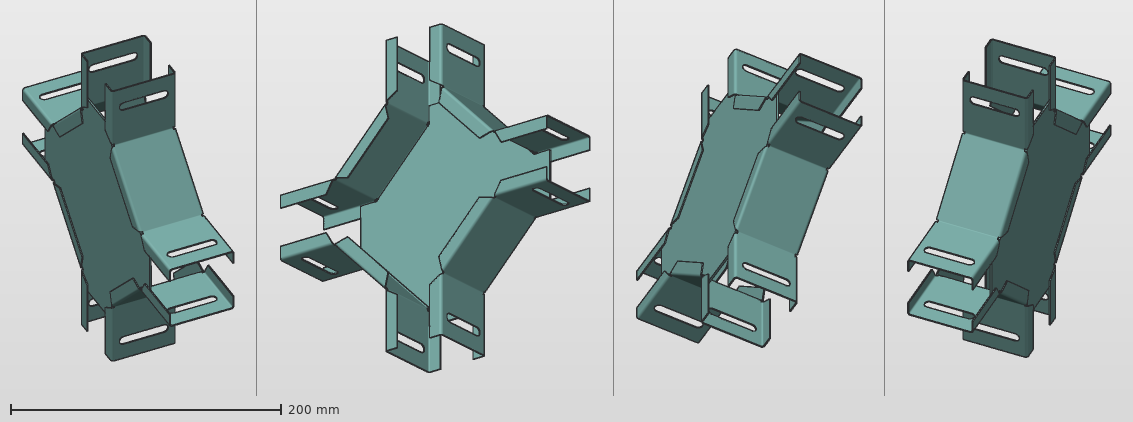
import cadquery as cq
import math


span = 249.0
arm_width = 53.0
depth = 53.0
corner_offset = 74.7
sheet = 1.0
bend_inner = 1.2
lip_width = 11.2
bend_setback = 0.5
lip_setback = 7.2

slot_length = 40.0
slot_width = 7.0
slot_from_tip = 16.5

plate_span = 176.8
plate_thickness = 1.5

bend_outer = bend_inner + sheet
half_span = span / 2
half_width = arm_width / 2
half_depth = depth / 2
web_height = depth - 2 * bend_outer
half_turn = math.radians(45) / 2


def wall_path(inset):
    """Points (X, Z) along a corner wall, moved inward from its outer face by inset."""
    near = half_width - inset
    far = corner_offset - inset * math.tan(half_turn)
    return [(near, half_span), (near, far), (far, near), (half_span, near)]


def turn_edges(web, inset):
    """Edges of the web along Y at the two turns of the wall face that lies inset from the outer face."""
    tolerance = sheet / 10
    turns = [cq.Vector(x, 0, z) for x, z in wall_path(inset)[1:3]]
    return [
        edge for edge in web.val().Edges()
        if any((edge.Center() - turn).Length < tolerance for turn in turns)
    ]


def corner_web():
    """Flat part of the wall: arm, diagonal and arm, with rounded turns and a slot in each arm."""
    outline = wall_path(0) + wall_path(sheet)[::-1]
    web = cq.Workplane("XZ").polyline(outline).close().extrude(web_height / 2, both=True)
    web = web.newObject(turn_edges(web, 0)).fillet(bend_inner)
    web = web.newObject(turn_edges(web, sheet)).fillet(bend_outer)

    slot_centre = half_span - slot_from_tip
    slot_on_x_arm = (
        cq.Workplane("XY").center(slot_centre, 0).slot2D(slot_length, slot_width, 90).extrude(half_span)
    )
    slot_on_z_arm = (
        cq.Workplane("YZ").center(0, slot_centre).slot2D(slot_length, slot_width, 0).extrude(half_span)
    )
    return web.cut(slot_on_x_arm).cut(slot_on_z_arm)


def lip_pair(start, end, start_is_corner, end_is_corner):
    """Front and back lips with their bends, along the wall from start to end (X, Z).

    A lip is cut back at an angle where it meets a wall corner and square at the tip of an arm.
    """
    run = cq.Vector(end[0] - start[0], 0, end[1] - start[1])
    length = run.Length
    bend_centre = half_depth - bend_outer
    slant = math.sqrt(0.5)
    section = (
        cq.Workplane("YZ")
        .moveTo(0, bend_centre)
        .threePointArc(
            (bend_outer - bend_outer * slant, bend_centre + bend_outer * slant), (bend_outer, half_depth)
        )
        .lineTo(lip_width, half_depth)
        .lineTo(lip_width, half_depth - sheet)
        .lineTo(bend_outer, half_depth - sheet)
        .threePointArc(
            (bend_outer - bend_inner * slant, bend_centre + bend_inner * slant), (sheet, bend_centre)
        )
        .close()
        .extrude(length)
    )
    trim_outline = [
        (bend_setback * start_is_corner, 0),
        (length - bend_setback * end_is_corner, 0),
        (length - lip_setback * end_is_corner, lip_width),
        (lip_setback * start_is_corner, lip_width),
    ]
    trim = cq.Workplane("XY").polyline(trim_outline).close().extrude(half_depth)
    back_lip = section.intersect(trim)
    lips = [back_lip, back_lip.mirror("XY")]
    place = cq.Plane(origin=(start[0], 0, start[1]), xDir=run, normal=(0, 1, 0)).location
    return [lip.val().moved(place) for lip in lips]


def corner_channel():
    """One corner body: slotted, twice-bent wall with lips on its front and back edges."""
    z_tip, z_turn, x_turn, x_tip = wall_path(0)
    channel = corner_web()
    lips = (
        lip_pair(z_tip, z_turn, False, True)
        + lip_pair(z_turn, x_turn, True, True)
        + lip_pair(x_turn, x_tip, True, False)
    )
    for lip in lips:
        channel = channel.union(cq.Workplane(obj=lip))
    return channel


def cover_plate():
    """Flat plate resting on the inside of the front lips, clear of the bends."""
    plate_tip = plate_span / 2
    near = half_width - bend_outer
    far = corner_offset - bend_outer * math.tan(half_turn)
    quadrant = [(near, plate_tip), (near, far), (far, near), (plate_tip, near)]
    outline = (
        quadrant
        + [(x, -z) for x, z in reversed(quadrant)]
        + [(-x, -z) for x, z in quadrant]
        + [(-x, z) for x, z in reversed(quadrant)]
    )
    front_face = -half_depth + sheet
    return (
        cq.Workplane("XZ", origin=(0, front_face, 0)).polyline(outline).close().extrude(-plate_thickness)
    )


plate = cover_plate()

first_corner = corner_channel()
corners = []
for quarter in range(4):
    corner = first_corner.rotate((0, 0, 0), (0, 1, 0), 90 * quarter)
    corners.append(corner.solids().val())

result = cq.Compound.makeCompound([plate.val(), *corners])